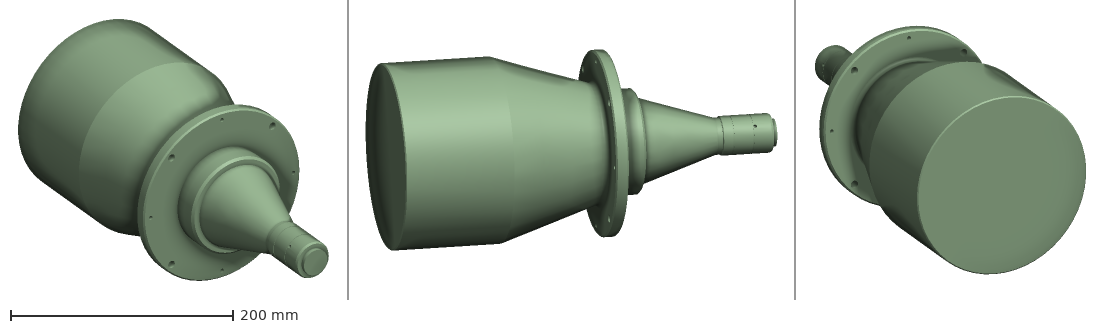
import cadquery as cq
import math

barrel_end = 100.0
taper_end = 187.0
fillet_start = 189.2
flange_start = 194.0
flange_end = 205.5
hub_end = 230.0
nose_end = 301.7
neck_start = 302.8
collar_start = 307.5
first_groove = 317.0
second_groove = 335.5
collar_end = 354.5
total_length = 358.3

barrel_radius = 84.5
taper_end_radius = 56.3
waist_radius = 55.5
fillet_end_radius = 58.5
hub_radius = 48.0
nose_base_radius = 40.5
nose_end_radius = 17.2
neck_radius = 17.0
collar_radius = 18.0
tip_radius = 12.5

barrel_chamfer = 1.0
flange_chamfer = 1.5
hub_chamfer = 2.0
collar_start_chamfer = 0.7
collar_end_chamfer_length = 2.0
collar_end_chamfer_depth = 1.0
groove_width = 1.0
groove_depth = 0.5

bolt_circle_radius = 77.0
bolt_hole_diameter = 7.0
pin_hole_diameter = 4.0
holes_per_ring = 4
bolt_start_angle = 45
pin_start_angle = 0

screw_count = 3
screw_station = 337.5
screw_diameter = 3.2
screw_depth = 3.5
screw_start_angle = 21.5


def turned_body():
    """Revolve the half profile about the X axis."""
    profile = (
        cq.Workplane("XY")
        .lineTo(0, barrel_radius - barrel_chamfer)
        .lineTo(barrel_chamfer, barrel_radius)
        .lineTo(barrel_end, barrel_radius)
        .lineTo(taper_end, taper_end_radius)
        .lineTo(fillet_start, waist_radius)
        .tangentArcPoint((flange_start, fillet_end_radius), relative=False)
        .lineTo(flange_start, barrel_radius - flange_chamfer)
        .lineTo(flange_start + flange_chamfer, barrel_radius)
        .lineTo(flange_end - flange_chamfer, barrel_radius)
        .lineTo(flange_end, barrel_radius - flange_chamfer)
        .lineTo(flange_end, hub_radius)
        .lineTo(hub_end - hub_chamfer, hub_radius)
        .lineTo(hub_end, hub_radius - hub_chamfer)
        .lineTo(hub_end, nose_base_radius)
        .lineTo(nose_end, nose_end_radius)
        .lineTo(neck_start, neck_radius)
        .lineTo(collar_start, neck_radius)
        .lineTo(collar_start, collar_radius - collar_start_chamfer)
        .lineTo(collar_start + collar_start_chamfer, collar_radius)
        .lineTo(collar_end - collar_end_chamfer_length, collar_radius)
        .lineTo(collar_end, collar_radius - collar_end_chamfer_depth)
        .lineTo(collar_end, tip_radius)
        .lineTo(total_length, tip_radius)
        .lineTo(total_length, 0)
        .close()
    )
    return profile.revolve(360, (0, 0, 0), (1, 0, 0))


def groove(station):
    """Ring that cuts a shallow groove centred on the given station."""
    return (
        cq.Workplane("YZ", origin=(station - groove_width / 2, 0, 0))
        .circle(collar_radius + groove_depth)
        .circle(collar_radius - groove_depth)
        .extrude(groove_width)
    )


def flange_holes(diameter, start_angle):
    """Ring of pins that cut evenly spaced holes through the flange."""
    return (
        cq.Workplane("YZ", origin=(flange_start, 0, 0))
        .polarArray(bolt_circle_radius, start_angle, 360, holes_per_ring)
        .circle(diameter / 2)
        .extrude(flange_end - flange_start)
    )


def screw_hole(angle):
    """Radial pin that cuts one blind hole into the collar; angle is from +Y towards +Z."""
    outward = cq.Vector(0, math.cos(math.radians(angle)), math.sin(math.radians(angle)))
    floor = cq.Vector(screw_station, 0, 0) + outward * (collar_radius - screw_depth)
    return cq.Solid.makeCylinder(screw_diameter / 2, 2 * screw_depth, floor, outward)


result = turned_body()

for station in (first_groove, second_groove):
    result = result.cut(groove(station))

result = result.cut(flange_holes(bolt_hole_diameter, bolt_start_angle))
result = result.cut(flange_holes(pin_hole_diameter, pin_start_angle))

for index in range(screw_count):
    result = result.cut(screw_hole(screw_start_angle + index * 360 / screw_count))